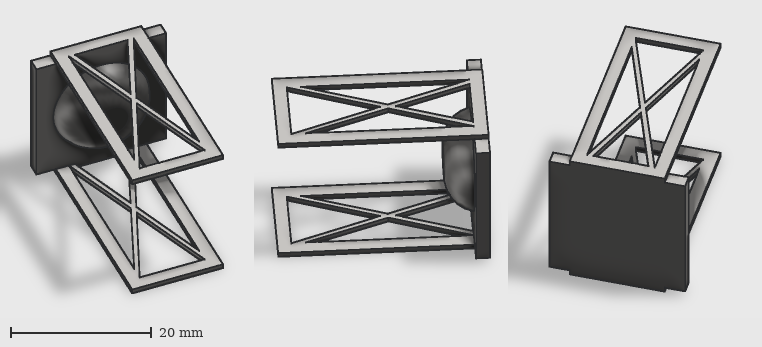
import cadquery as cq

plate_side = 20.0
plate_thickness = 2.0

frame_length = 30.0
frame_width = 14.0
frame_thickness = 0.75
frame_border = 2.0

brace_end_cut = 0.93
brace_side_cut = 2.0

boss_radius = 7.5
boss_height = 4.0
boss_rim_radius = 5.0

window_length = frame_length - 2 * frame_border
window_width = frame_width - 2 * frame_border


def make_plate():
    return cq.Workplane("XY").box(
        plate_thickness, plate_side, plate_side, centered=(False, True, True)
    )


def make_boss():
    """Cylinder along X from the plate's outer face; its rim rounding starts inside the plate."""
    return (
        cq.Workplane("YZ")
        .circle(boss_radius)
        .extrude(plate_thickness + boss_height)
        .faces(">X")
        .edges()
        .fillet(boss_rim_radius)
    )


def make_brace(side):
    """Diagonal brace starting at the plate end on the given side (+1 or -1) of the frame."""
    start_x = frame_border
    end_x = start_x + window_length
    edge_y = side * window_width / 2
    corners = [
        (start_x, edge_y),
        (end_x, -edge_y),
        (end_x - brace_side_cut, -edge_y),
        (start_x, edge_y - side * brace_end_cut),
    ]
    return cq.Workplane("XY").polyline(corners).close().extrude(frame_thickness)


def make_frame(bottom_z):
    outer = cq.Workplane("XY").box(
        frame_length, frame_width, frame_thickness, centered=(False, True, False)
    )
    window = (
        cq.Workplane("XY")
        .box(window_length, window_width, frame_thickness, centered=(False, True, False))
        .translate((frame_border, 0, 0))
    )
    frame = outer.cut(window)
    for side in (1, -1):
        frame = frame.union(make_brace(side))
    return frame.translate((0, 0, bottom_z))


result = make_plate().union(make_boss())
for frame_bottom in (plate_side / 2, -plate_side / 2 - frame_thickness):
    result = result.union(make_frame(frame_bottom))